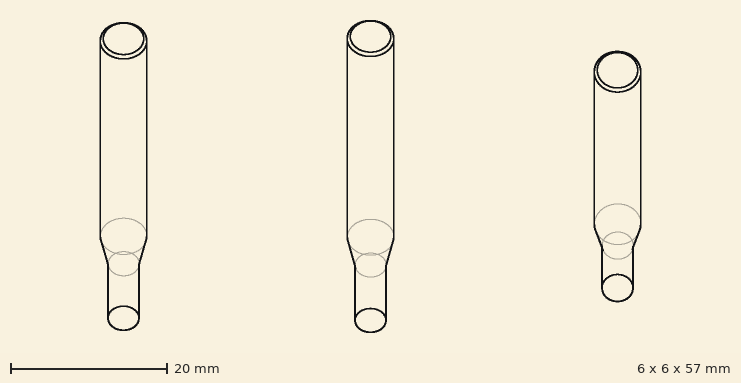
import cadquery as cq

total_length = 57.0
shank_diameter = 6.0
neck_diameter = 4.0

neck_length = 11.2
taper_length = 5.6
end_chamfer = 0.4

shank_radius = shank_diameter / 2
neck_radius = neck_diameter / 2
taper_top = neck_length + taper_length

half_profile = [
    (0, 0),
    (neck_radius, 0),
    (neck_radius, neck_length),
    (shank_radius, taper_top),
    (shank_radius, total_length - end_chamfer),
    (shank_radius - end_chamfer, total_length),
    (0, total_length),
]

result = cq.Workplane("XZ").polyline(half_profile).close().revolve(360, (0, 0), (0, 1))